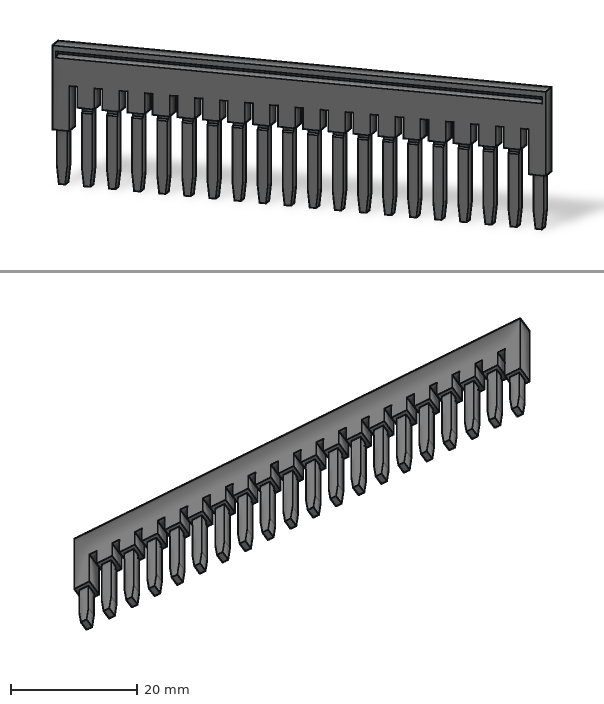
import cadquery as cq

length = 82.6
thickness = 3.0
height = 23.0

pin_count = 20
end_inset = 1.4
pitch = (length - 2 * end_inset) / (pin_count - 1)
pin_width = 1.7
pin_thickness = 1.7
tip_width = 1.1
tip_height = 3.0

slot_width = 1.3
slot_top = 6.45
tooth_bottom = 9.9
leg_bottom = 13.9

groove_end_gap = 0.6
groove_top = 0.9
groove_height = 1.1
groove_depth = 1.15
groove_floor_height = 0.3

notch_height = 1.0
notch_floor_height = 0.75
notch_depth = 0.3

pin_centers = [end_inset - length / 2 + i * pitch for i in range(pin_count)]
inner_centers = pin_centers[1:-1]


def block(width, top, bottom, x=0.0):
    """Box as thick as the body, centred on x, between two depths below the top face."""
    return cq.Workplane("XY").box(width, thickness, bottom - top).translate((x, 0, -(top + bottom) / 2))


def make_body():
    """Slotted bar with short inner teeth and a longer leg at each end."""
    body = block(length, 0, leg_bottom)
    inner_span = len(inner_centers) * pitch + slot_width
    body = body.cut(block(inner_span, tooth_bottom, leg_bottom))
    for left_center in pin_centers[:-1]:
        body = body.cut(block(slot_width, slot_top, tooth_bottom, left_center + pitch / 2))
    return body.cut(make_groove())


def make_groove():
    """Long groove in the front face, its sides sloping in to a narrower floor."""
    front = -thickness / 2
    floor = front + groove_depth
    slope_height = (groove_height - groove_floor_height) / 2
    half_length = length / 2 - groove_end_gap
    return (
        cq.Workplane("YZ", origin=(-half_length, 0, 0))
        .polyline(
            [
                (front, -groove_top),
                (floor, -groove_top - slope_height),
                (floor, -groove_top - slope_height - groove_floor_height),
                (front, -groove_top - groove_height),
            ]
        )
        .close()
        .extrude(2 * half_length)
    )


def make_pin(x, top):
    """Flat pin with a tip that narrows in X only."""
    half_width = pin_width / 2
    half_tip = tip_width / 2
    shoulder = tip_height - height
    return (
        cq.Workplane("XZ")
        .polyline(
            [
                (x - half_width, -top),
                (x - half_width, shoulder),
                (x - half_tip, -height),
                (x + half_tip, -height),
                (x + half_width, shoulder),
                (x + half_width, -top),
            ]
        )
        .close()
        .extrude(pin_thickness / 2, both=True)
    )


def make_inner_pin(x):
    """Pin under a short tooth, notched on its front face."""
    front = -pin_thickness / 2
    floor = front + notch_depth
    notch = (
        cq.Workplane("YZ", origin=(x - pin_width / 2, 0, 0))
        .polyline(
            [
                (front, -tooth_bottom),
                (floor, -tooth_bottom),
                (floor, -tooth_bottom - notch_floor_height),
                (front, -tooth_bottom - notch_height),
            ]
        )
        .close()
        .extrude(pin_width)
    )
    return make_pin(x, tooth_bottom).cut(notch)


result = make_body()
for center in inner_centers:
    result = result.union(make_inner_pin(center))
for center in (pin_centers[0], pin_centers[-1]):
    result = result.union(make_pin(center, leg_bottom))